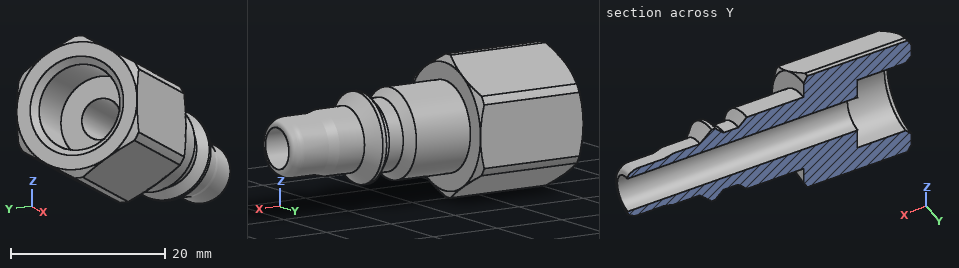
import cadquery as cq
import math

hex_flats = 17.0
hex_corner_diameter = 19.0
hex_length = 16.0
hex_chamfer_angle = 30

body_diameter = 12.25
groove_diameter = 9.8
neck_diameter = 8.8
tip_diameter = 8.1

body_end = 24.4
groove_depth = (body_diameter - groove_diameter) / 2
groove_start = body_end + groove_depth
groove_end = 27.8
collar_start = groove_end + groove_depth
collar_end = 29.6
neck_start = collar_end + (body_diameter - neck_diameter) / 2
neck_end = 35.2
tip_start = 36.62
tip_round_start = 40.4
total_length = 42.0

nose_taper = math.radians(30)
nose_large_radius = 1.6
nose_small_radius = 0.67

through_diameter = 5.5
socket_diameter = 11.42
socket_mouth_diameter = 13.2
socket_depth = 8.0


def revolve_about_x(points):
    """Turn an (x, diameter) outline into a solid of revolution about X."""
    outline = [(points[0][0], 0)]
    outline += [(x, diameter / 2) for x, diameter in points]
    outline.append((points[-1][0], 0))
    return cq.Workplane("XY").polyline(outline).close().revolve(360, (0, 0, 0), (1, 0, 0))


def make_hex():
    """Hexagon with corners up and down, turned to a round with chamfered ends."""
    corner_to_corner = hex_flats / math.cos(math.radians(30))
    prism = (
        cq.Workplane("YZ")
        .transformed(rotate=(0, 0, 90))
        .polygon(6, corner_to_corner)
        .extrude(hex_length)
    )
    chamfer_height = (hex_corner_diameter - hex_flats) / 2
    chamfer_length = chamfer_height * math.tan(math.radians(hex_chamfer_angle))
    turned_outline = revolve_about_x([
        (0, hex_flats),
        (chamfer_length, hex_corner_diameter),
        (hex_length - chamfer_length, hex_corner_diameter),
        (hex_length, hex_flats),
    ])
    return prism.intersect(turned_outline)


def make_plug():
    """Stepped plug with a locking groove, a collar and a plain cylindrical tip."""
    return revolve_about_x([
        (0, body_diameter),
        (body_end, body_diameter),
        (groove_start, groove_diameter),
        (groove_end, groove_diameter),
        (collar_start, body_diameter),
        (collar_end, body_diameter),
        (neck_start, neck_diameter),
        (neck_end, neck_diameter),
        (tip_start, tip_diameter),
        (total_length, tip_diameter),
    ])


def make_nose_envelope():
    """Solid of revolution that rounds the tip down to its flat end face."""
    large_center_r = tip_diameter / 2 - nose_large_radius

    def on_large_arc(angle):
        return (
            tip_round_start + nose_large_radius * math.sin(angle),
            large_center_r + nose_large_radius * math.cos(angle),
        )

    cone_start = on_large_arc(nose_taper)
    small_center_x = total_length - nose_small_radius
    cone_end_x = small_center_x + nose_small_radius * math.sin(nose_taper)
    cone_end_r = cone_start[1] - (cone_end_x - cone_start[0]) * math.tan(nose_taper)
    small_center_r = cone_end_r - nose_small_radius * math.cos(nose_taper)

    def on_small_arc(angle):
        return (
            small_center_x + nose_small_radius * math.sin(angle),
            small_center_r + nose_small_radius * math.cos(angle),
        )

    end_angle = math.radians(90)
    return (
        cq.Workplane("XY")
        .moveTo(0, 0)
        .lineTo(0, hex_corner_diameter)
        .lineTo(tip_round_start, hex_corner_diameter)
        .lineTo(tip_round_start, tip_diameter / 2)
        .threePointArc(on_large_arc(nose_taper / 2), cone_start)
        .lineTo(cone_end_x, cone_end_r)
        .threePointArc(on_small_arc((nose_taper + end_angle) / 2), on_small_arc(end_angle))
        .lineTo(total_length, 0)
        .close()
        .revolve(360, (0, 0, 0), (1, 0, 0))
    )


def make_bore():
    """Countersunk socket followed by the through hole."""
    mouth_depth = (socket_mouth_diameter - socket_diameter) / 2
    return revolve_about_x([
        (0, socket_mouth_diameter),
        (mouth_depth, socket_diameter),
        (socket_depth, socket_diameter),
        (socket_depth, through_diameter),
        (total_length, through_diameter),
    ])


rounded_plug = make_plug().intersect(make_nose_envelope())
result = make_hex().union(rounded_plug).cut(make_bore())